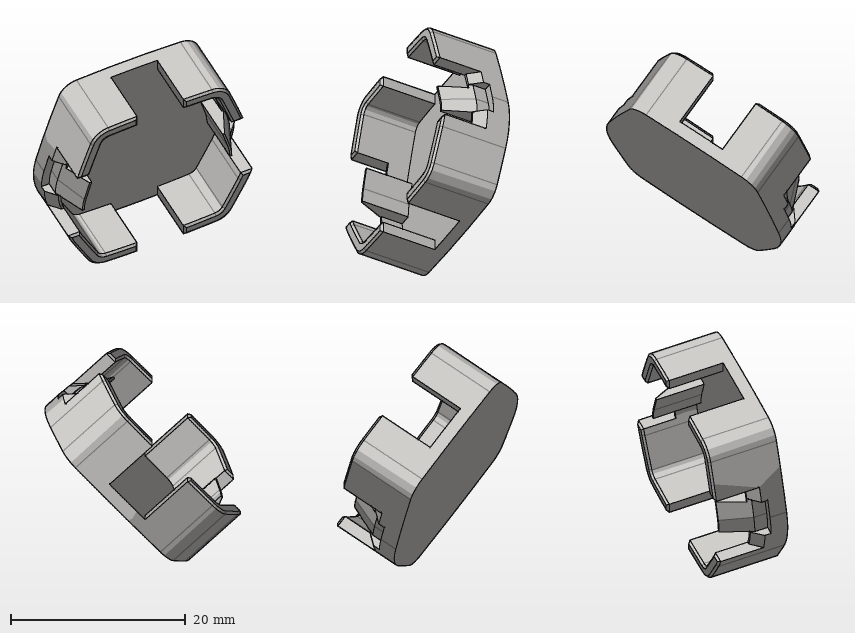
import cadquery as cq
import math


overall_z = 23.0
crown_z = overall_z / 2
edge_bow_radius = 129.9
top_corner_y = 8.33
side_corner = (12.67, -2.96)
bottom_corner_y = 8.5
corner_radius = 2.55
bulge_radius = 9.0

height = 8.5
floor_thickness = 1.5
wall_thickness = 1.4
rim_chamfer = 0.27

wall_gap_width = 5.92
slot_half_height = 4.61
slot_floor_x = 4.2

shoulder_x = 2.87
shoulder_drop = 1.12

recess_x = 2.1
recess_depth = 1.0
recess_top_z = 2.62

tab_half_height = 2.11
tab_lean_x = 3.7
tab_tip_x = 7.45
tab_tip_inset = 2.6
tab_tip_width = 0.25

full_width = 2 * side_corner[0]


def bow_drop(distance):
    """How far a bowed edge has dropped at a given distance from its middle."""
    return edge_bow_radius - math.sqrt(edge_bow_radius**2 - distance**2)


top_corner = (top_corner_y, crown_z - bow_drop(top_corner_y))
bottom_corner = (bottom_corner_y, bow_drop(bottom_corner_y) - crown_z)


def bowed_midpoint(start, end):
    """Middle of the bowed edge between two corners on the +Y side, listed from top to bottom."""
    dy = end[0] - start[0]
    dz = end[1] - start[1]
    chord = math.hypot(dy, dz)
    bow = bow_drop(chord / 2)
    return (
        (start[0] + end[0]) / 2 - bow * dz / chord,
        (start[1] + end[1]) / 2 + bow * dy / chord,
    )


def mirrored(point):
    return (-point[0], point[1])


def round_corners(wire, corner, radius):
    """Round the outline at a corner and at its mirror image."""
    for y, z in (corner, mirrored(corner)):
        target = cq.Vector(0, y, z)
        nearest = min(wire.Vertices(), key=lambda v: (v.Center() - target).Length)
        wire = wire.fillet2D(radius, [nearest])
    return wire


def bulged_outline():
    """Closed outline with rounded side bulges and sharp top and bottom corners."""
    upper_mid = bowed_midpoint(top_corner, side_corner)
    lower_mid = bowed_midpoint(side_corner, bottom_corner)
    wire = (
        cq.Workplane("YZ")
        .moveTo(*mirrored(top_corner))
        .threePointArc((0, crown_z), top_corner)
        .threePointArc(upper_mid, side_corner)
        .threePointArc(lower_mid, bottom_corner)
        .threePointArc((0, -crown_z), mirrored(bottom_corner))
        .threePointArc(mirrored(lower_mid), mirrored(side_corner))
        .threePointArc(mirrored(upper_mid), mirrored(top_corner))
        .close()
        .wire()
        .val()
    )
    return round_corners(wire, side_corner, bulge_radius)


sharp_outline = bulged_outline()
outline = round_corners(sharp_outline, top_corner, corner_radius)
outline = round_corners(outline, bottom_corner, corner_radius)


def inset_wire(wire, inset, x):
    """Outline shrunk by `inset` and moved to height x above the flat face."""
    inner = wire.offset2D(-inset, "intersection")[0] if inset else wire
    return inner.translate(cq.Vector(x, 0, 0))


def prism(wire, inset, x_start, x_end):
    """Straight block inside the outline shrunk by `inset`."""
    base = inset_wire(wire, inset, x_start)
    return cq.Workplane(cq.Solid.extrudeLinear(base, [], cq.Vector(x_end - x_start, 0, 0)))


def tapered_block(x_start, inset_start, x_end, inset_end):
    """Block whose sides lean inward from one inset to another."""
    base = inset_wire(sharp_outline, inset_start, x_start)
    top = inset_wire(sharp_outline, inset_end, x_end)
    return cq.Workplane(cq.Solid.makeLoft([base, top], True))


def band(x_start, x_end, z_low, z_high):
    """Box across the full width of the part."""
    return cq.Workplane("XY").box(
        x_end - x_start, full_width, z_high - z_low, centered=(False, True, False)
    ).translate((x_start, 0, z_low))


def shell():
    """Floor and walls with the top and bottom gaps, the side slots and the chamfered rim."""
    cavity = prism(outline, wall_thickness, floor_thickness, height)
    gap = cq.Workplane("XY").box(
        height, wall_gap_width, overall_z, centered=(False, True, True)
    ).translate((floor_thickness, 0, 0))
    slots = band(slot_floor_x, height, -slot_half_height, slot_half_height)
    walls = prism(outline, 0, 0, height).cut(cavity).cut(gap).cut(slots)
    return walls.faces(">X").chamfer(rim_chamfer)


def shoulder_cut():
    """Material outside the sloped shoulders, within the height of the slots."""
    kept = tapered_block(shoulder_x, 0, slot_floor_x, shoulder_drop)
    return band(shoulder_x, slot_floor_x, -slot_half_height, slot_half_height).cut(kept)


def tab_outer_form():
    """Everything inside the outer faces of both tabs and their recesses."""
    foot = prism(sharp_outline, recess_depth, recess_x, tab_lean_x)
    leaning = tapered_block(tab_lean_x, recess_depth, tab_tip_x, tab_tip_inset)
    return foot.union(leaning)


def tab_blocks():
    """Blocks that fill the slots at full width; the recess cut shapes their outer faces."""
    core = prism(sharp_outline, tab_tip_inset + tab_tip_width, floor_thickness, tab_tip_x)
    block_band = band(floor_thickness, tab_tip_x, -tab_half_height, tab_half_height)
    return prism(sharp_outline, 0, floor_thickness, tab_tip_x).intersect(block_band).cut(core)


def recess_cut():
    """Material outside the recess floors and the leaning tab faces."""
    return band(recess_x, tab_tip_x, -tab_half_height, recess_top_z).cut(tab_outer_form())


result = shell().cut(shoulder_cut()).union(tab_blocks()).cut(recess_cut())